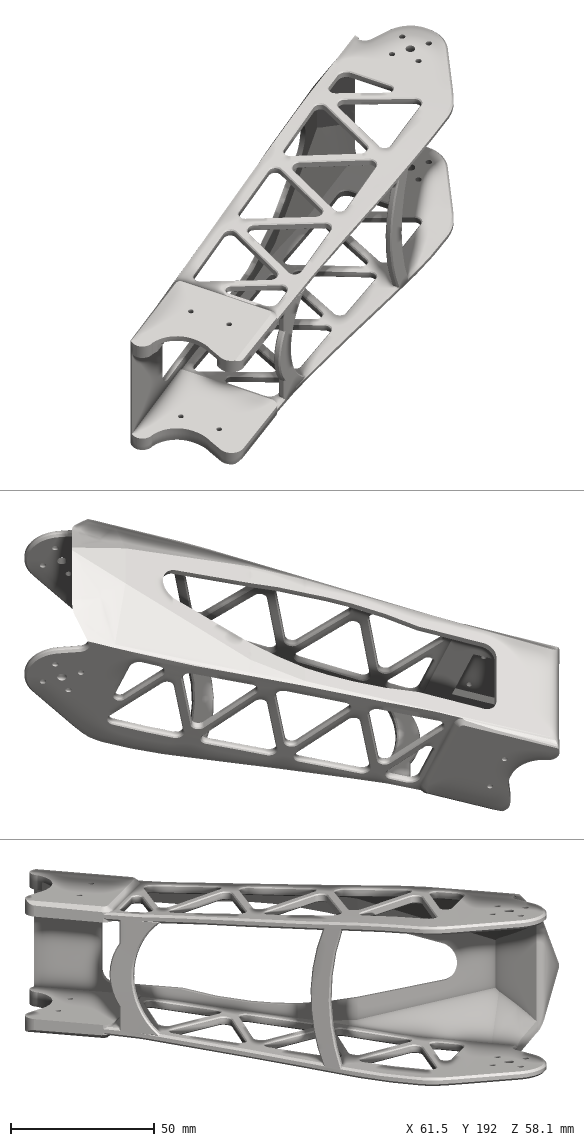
import cadquery as cq
import math

ROOT_Y = -96.02
TIP_Y = 96.02
OVER = 1.5
FAR_X = 60.0
FAR_Z = 40.0
AXIS_X = 2.9

HALF_HEIGHT = 29.03
ROOT_HALF_HEIGHT = 22.4
FLAT_Y = 70.8
PLATE = 3.0
WALL = 2.0
EDGE_CHAMFER = 0.8
FOLD_BEVEL_X = 0.5
FOLD_BEVEL_Z = 1.1
BAR_CHAMFER = 0.5
TRUSS_CHAMFER = 0.4

HEIGHT_CURVE = [
    (FLAT_Y, HALF_HEIGHT),
    (40.8, 28.6),
    (21.4, 27.2),
    (0.4, 25.7),
    (-30.0, 23.85),
    (-57.5, ROOT_HALF_HEIGHT),
]

WALL_STATIONS = [
    (ROOT_Y - OVER, ROOT_HALF_HEIGHT, -16.5, -17.5, 20.6, 0.0),
    (0.4, 25.7, -18.2, -18.9, 24.0, 0.0),
    (21.4, 27.2, -18.1, -20.8, 22.1, 0.0),
    (FLAT_Y, HALF_HEIGHT, -17.6, -29.0, 8.3, 0.0),
    (92.5, HALF_HEIGHT, -17.6, -31.0, 0.2, -0.7),
    (TIP_Y + OVER, HALF_HEIGHT, -17.6, -31.0, 0.2, -0.7),
]

PAD_OUTER_Z = 24.0
PAD_INNER_Z = 18.7
PAD_EDGE_Y = -56.4
PAD_LEFT_X = -18.1
PAD_RIGHT_X = 23.0
PAD_CORNER = 3.5
PAD_BEVEL_RUN = 2.0
UPPER_ROOT_HOLE_Y = -71.2
LOWER_ROOT_HOLE_Y = -78.9
ROOT_HOLE_SPACING = 15.0
ROOT_HOLE_D = 2.0

RECESS_LENGTH_X = 22.0
RECESS_END_Y = -66.0
RECESS_TOP_Z = 21.9

MOTOR_Y = 82.9
MOTOR_R = TIP_Y - MOTOR_Y
MOTOR_SHAFT_D = 3.4
MOTOR_SCREW_D = 2.2
MOTOR_SCREW_CIRCLE_R = 7.05
MOTOR_SCREW_ANGLE = 51.0

TRUSS_LEFT_X = -13.45
TRUSS_RIGHT_X = 19.6
TRUSS_TOP_Y = 62.4
TRUSS_BOTTOM_Y = -54.7
TRUSS_PITCH = 34.64
TRUSS_ROWS = 3
TRUSS_FIRST_NODE_Y = 46.6
RIB_WIDTH = 3.4
LAST_RIB_SHIFT = 0.6
TRUSS_ROUND = 2.5
END_ROUND = 3.6
END_ACUTE_ROUND = 1.9

BAR_THICKNESS = 2.5


def motor_lobe_tangent(point, side):
    """Point where a line from the given point touches the motor lobe, on its +X or -X side."""
    dx = point[0] - AXIS_X
    dy = point[1] - MOTOR_Y
    angle = math.atan2(dy, dx) + side * math.acos(MOTOR_R / math.hypot(dx, dy))
    return (AXIS_X + MOTOR_R * math.cos(angle), MOTOR_Y + MOTOR_R * math.sin(angle))


def arm_outline():
    """Plan outline: scalloped root, bowed open edge, motor lobe and nose cut."""
    shoulder = (25.8, FLAT_Y)
    valley = (-12.1, 82.0)
    tip_right = motor_lobe_tangent(shoulder, 1)
    tip_left = motor_lobe_tangent(valley, -1)
    return (
        cq.Workplane("XY")
        .workplane(offset=-FAR_Z)
        .moveTo(-FAR_X, -91.0)
        .lineTo(-17.5, -91.0)
        .threePointArc((-16.3, -94.5), (-13.0, ROOT_Y))
        .threePointArc((-10.4, -95.0), (-8.9, -92.0))
        .threePointArc((-4.2, -85.9), (3.0, -83.9))
        .threePointArc((7.0, -84.4), (10.5, -85.9))
        .lineTo(15.5, -88.2)
        .threePointArc((20.5, -87.9), (22.6, -84.3))
        .lineTo(22.9, -60.0)
        .spline(
            [(26.4, -5.0), (30.57, 54.0), (29.5, 63.6), shoulder],
            tangents=[(0.0123, 1.0), (tip_right[0] - shoulder[0], tip_right[1] - shoulder[1])],
            includeCurrent=True,
        )
        .lineTo(*tip_right)
        .threePointArc((AXIS_X, TIP_Y), tip_left)
        .lineTo(*valley)
        .threePointArc((-15.2, 79.9), (-17.8, 81.0))
        .lineTo(-20.6, 86.2)
        .threePointArc((-21.6, 87.7), (-23.2, 88.6))
        .lineTo(-30.2, 91.1)
        .lineTo(-FAR_X, 100.0)
        .close()
        .extrude(2 * FAR_Z)
    )


def height_body(inset):
    """Full-width body bounded by the height curve, moved inwards by inset."""
    upper = [(y, z - inset) for y, z in HEIGHT_CURVE]
    lower = [(y, -z) for y, z in reversed(upper)]
    return (
        cq.Workplane("YZ")
        .workplane(offset=-FAR_X)
        .moveTo(TIP_Y + OVER, upper[0][1])
        .lineTo(*upper[0])
        .spline(upper[1:], tangents=[(-1, 0), (-1, 0)], includeCurrent=True)
        .lineTo(ROOT_Y - OVER, upper[-1][1])
        .lineTo(ROOT_Y - OVER, lower[0][1])
        .lineTo(*lower[0])
        .spline(lower[1:], tangents=[(1, 0), (1, 0)], includeCurrent=True)
        .lineTo(TIP_Y + OVER, lower[-1][1])
        .close()
        .extrude(2 * FAR_X)
    )


def wall_section(y, height, edge_x, ridge_x, ridge_z, bulge):
    """Closed XZ wire: the folded side wall on -X, plain on the other sides."""
    def at(x, z):
        return cq.Vector(x, y, z)

    bevel_x = edge_x - FOLD_BEVEL_X
    bevel_z = height - FOLD_BEVEL_Z
    run = bevel_x - ridge_x
    rise = bevel_z - ridge_z
    length = math.hypot(run, rise)
    mid_x = (bevel_x + ridge_x) / 2 - bulge * rise / length
    mid_z = (bevel_z + ridge_z) / 2 + bulge * run / length

    def flank(side):
        start = at(ridge_x, side * ridge_z)
        end = at(bevel_x, side * bevel_z)
        if bulge == 0:
            return cq.Edge.makeLine(start, end)
        return cq.Edge.makeThreePointArc(start, at(mid_x, side * mid_z), end)

    edges = [
        cq.Edge.makeLine(at(ridge_x, -ridge_z), at(ridge_x, ridge_z)),
        flank(1),
        cq.Edge.makeLine(at(bevel_x, bevel_z), at(edge_x, height)),
        cq.Edge.makeLine(at(edge_x, height), at(edge_x, FAR_Z)),
        cq.Edge.makeLine(at(edge_x, FAR_Z), at(FAR_X, FAR_Z)),
        cq.Edge.makeLine(at(FAR_X, FAR_Z), at(FAR_X, -FAR_Z)),
        cq.Edge.makeLine(at(FAR_X, -FAR_Z), at(edge_x, -FAR_Z)),
        cq.Edge.makeLine(at(edge_x, -FAR_Z), at(edge_x, -height)),
        cq.Edge.makeLine(at(edge_x, -height), at(bevel_x, -bevel_z)),
        flank(-1),
    ]
    return cq.Wire.assembleEdges(edges)


def wall_body():
    """Body whose -X side is the folded side wall."""
    sections = [wall_section(*station) for station in WALL_STATIONS]
    return cq.Workplane("XY").add(cq.Solid.makeLoft(sections, True))


def root_pad():
    """Thickening of the upper root plate with bevelled outer edges."""
    length = PAD_EDGE_Y - ROOT_Y + PAD_CORNER
    return (
        cq.Workplane("XY")
        .box(PAD_RIGHT_X - PAD_LEFT_X, length, PAD_OUTER_Z - PAD_INNER_Z, centered=False)
        .translate((PAD_LEFT_X, PAD_EDGE_Y - length, PAD_INNER_Z))
        .edges("|Z and >Y").fillet(PAD_CORNER)
        .faces(">Z").chamfer(PAD_OUTER_Z - ROOT_HALF_HEIGHT, PAD_BEVEL_RUN)
    )


def side_window():
    """Opening in the folded side wall."""
    return (
        cq.Workplane("YZ")
        .workplane(offset=-FAR_X)
        .moveTo(51.7, 6.7)
        .lineTo(21.4, 14.2)
        .threePointArc((-2.5, 18.0), (-42.0, 15.5))
        .lineTo(-66.5, 15.5)
        .threePointArc((-69.7, 13.9), (-71.0, 10.7))
        .lineTo(-71.0, -10.7)
        .threePointArc((-69.7, -13.9), (-66.5, -15.5))
        .lineTo(-42.0, -15.5)
        .threePointArc((-2.5, -18.0), (21.4, -14.2))
        .lineTo(51.7, -6.7)
        .threePointArc((56.0, 0), (51.7, 6.7))
        .close()
        .extrude(FAR_X - 5.0)
    )


def bar_profiles():
    """Both curved cross bars as prisms along X, kept to the open side of the arm."""
    plane = cq.Workplane("YZ").workplane(offset=AXIS_X)
    front = (
        plane.moveTo(30.6, 28.0)
        .threePointArc((25.3, 0), (30.6, -28.0))
        .lineTo(24.0, -28.0)
        .threePointArc((17.9, 0), (24.0, 28.0))
        .close()
        .extrude(FAR_X)
    )
    rear = (
        plane.moveTo(-37.5, 21.0)
        .threePointArc((-48.2, 0), (-37.5, -21.0))
        .lineTo(-53.2, -21.0)
        .lineTo(-53.2, -11.5)
        .threePointArc((-56.8, 0), (-53.2, 11.5))
        .lineTo(-53.2, 21.0)
        .close()
        .extrude(FAR_X)
    )
    return front.union(rear)


def prism(points):
    """Vertical prism through both plates."""
    return cq.Workplane("XY").workplane(offset=-FAR_Z).polyline(points).close().extrude(2 * FAR_Z)


def truss_openings():
    """Triangles left between zigzag ribs, plus one clipped opening at each end."""
    span = TRUSS_RIGHT_X - TRUSS_LEFT_X
    slope = TRUSS_PITCH / 2 / span
    rib_half = RIB_WIDTH / 2 * math.hypot(1, slope)
    rib_run = rib_half / slope
    half_base = TRUSS_PITCH / 2 - rib_half
    cells = []
    for row in range(TRUSS_ROWS):
        left_y = TRUSS_FIRST_NODE_Y - row * TRUSS_PITCH
        right_y = left_y - TRUSS_PITCH / 2
        for base_x, apex_x, mid_y in (
            (TRUSS_RIGHT_X, TRUSS_LEFT_X + rib_run, left_y),
            (TRUSS_LEFT_X, TRUSS_RIGHT_X - rib_run, right_y),
        ):
            corners = [(base_x, mid_y + half_base), (base_x, mid_y - half_base), (apex_x, mid_y)]
            cells.append(prism(corners).edges("|Z").fillet(TRUSS_ROUND))

    last_rib_y = TRUSS_FIRST_NODE_Y - (TRUSS_ROWS - 0.5) * TRUSS_PITCH + LAST_RIB_SHIFT
    for base_x, node_y, end_y in (
        (TRUSS_LEFT_X, TRUSS_FIRST_NODE_Y + rib_half, TRUSS_TOP_Y),
        (TRUSS_RIGHT_X, last_rib_y - rib_half, TRUSS_BOTTOM_Y),
    ):
        acute_x = base_x + (end_y - node_y) / slope
        cell = prism([(base_x, node_y), (base_x, end_y), (acute_x, end_y)])
        for x, y, radius in (
            (base_x, node_y, TRUSS_ROUND),
            (base_x, end_y, END_ROUND),
            (acute_x, end_y, END_ACUTE_ROUND),
        ):
            cell = cell.edges(cq.selectors.NearestToPointSelector((x, y, 0))).fillet(radius)
        cells.append(cell)
    return cells


def screw_holes(root_hole_y):
    """Motor mount and root holes of one plate."""
    motor = cq.Workplane("XY").center(AXIS_X, MOTOR_Y)
    shaft = motor.circle(MOTOR_SHAFT_D / 2).extrude(FAR_Z)
    motor_screws = (
        motor.polarArray(MOTOR_SCREW_CIRCLE_R, MOTOR_SCREW_ANGLE, 360, 4)
        .circle(MOTOR_SCREW_D / 2)
        .extrude(FAR_Z)
    )
    root_screws = (
        cq.Workplane("XY")
        .center(AXIS_X, root_hole_y)
        .rarray(ROOT_HOLE_SPACING, 1, 2, 1)
        .circle(ROOT_HOLE_D / 2)
        .extrude(FAR_Z)
    )
    return shaft.union(motor_screws).union(root_screws)


def nose_web():
    """Plan wedge that thickens the nose behind the side window."""
    return prism([(-27.0, 68.7), (-20.5, 86.1), (-20.5, 100.0), (-FAR_X, 100.0), (-FAR_X, 68.7)])


def terminal_recess():
    """Recess in the underside of the upper root plate, open at the scalloped end."""
    length = RECESS_END_Y - ROOT_Y
    return (
        cq.Workplane("XY")
        .box(RECESS_LENGTH_X, length, RECESS_TOP_Z, centered=(True, False, False))
        .translate((AXIS_X, ROOT_Y, 0))
    )


def edges_in(body, low, high):
    """Edges whose centres lie inside a box."""
    return body.edges(cq.selectors.BoxSelector(low, high))


def upper_plate(height, outline, wall):
    """Upper plate with bevelled open edge, root pad and truss openings."""
    upper_half = cq.Workplane("XY").box(2 * FAR_X, 4 * FAR_X, FAR_Z, centered=(True, True, False))
    plate = height.cut(height_body(PLATE)).intersect(upper_half).intersect(outline)
    plate = edges_in(plate, (20, -59, 17), (29, 69, 30)).chamfer(EDGE_CHAMFER)
    plate = plate.union(root_pad().intersect(outline)).intersect(wall)
    for opening in truss_openings():
        plate = plate.cut(opening, clean=False)
    rims = edges_in(plate, (-15, -56, 0), (21, 64, 30)).edges("not |Z")
    return rims.chamfer(TRUSS_CHAMFER)


def cross_bars(outline):
    """Bevelled cross bars along the open edge, rooted inside the plates."""
    open_edge = outline.cut(outline.translate((-BAR_THICKNESS, 0, 0)))
    bars = height_body(PLATE / 2).intersect(open_edge).intersect(bar_profiles())
    return bars.edges("not |X").chamfer(BAR_CHAMFER)


arm_plan = arm_outline()
arm_height = height_body(0)
arm_wall = wall_body()

side_wall = arm_wall.cut(arm_wall.translate((WALL, 0, 0))).intersect(arm_height).intersect(arm_plan)
side_wall = side_wall.cut(side_window())
web = arm_wall.intersect(nose_web()).intersect(arm_height).intersect(arm_plan)

plain_plate = upper_plate(arm_height, arm_plan, arm_wall)
upper = plain_plate.cut(screw_holes(UPPER_ROOT_HOLE_Y), clean=False).cut(terminal_recess(), clean=False)
lower = plain_plate.cut(screw_holes(LOWER_ROOT_HOLE_Y), clean=False).mirror("XY")

result = side_wall.union(web, clean=False)
for piece in (upper, lower, cross_bars(arm_plan)):
    result = result.union(piece, clean=False)
result = result.clean()